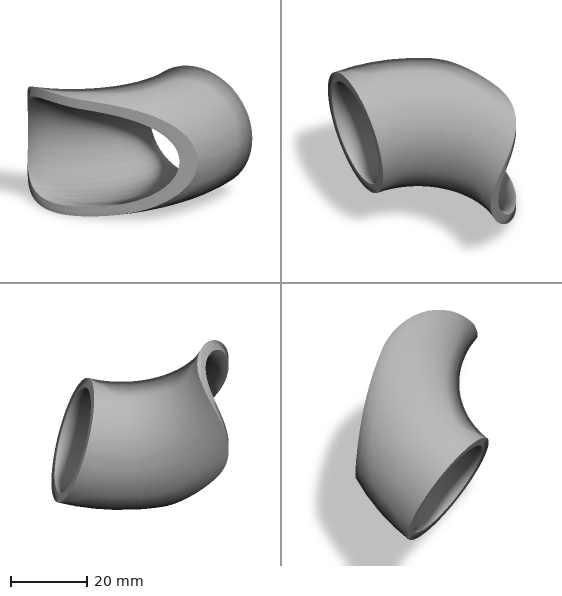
import cadquery as cq
import math


overall_length = 54.85
pipe_diameter = 33.7
wall = 2.6
bend_angle = 90.0
arc_radius = 19.1
seam_x = 23.75
margin = 0.55

pipe_radius = pipe_diameter / 2
bore_radius = pipe_radius - wall
bend_radius = overall_length - pipe_radius


def saddle_y(x):
    """Parabola where the elbow meets an equal pipe along X, tangent to its far end."""
    return x**2 / (4 * bend_radius) - bend_radius


def saddle_slope(x):
    return x / (2 * bend_radius)


def elbow():
    """Bent tube from the flat face at Y = 0 to the end face at X = 0."""
    section = cq.Workplane("XZ").center(bend_radius, 0).circle(pipe_radius).circle(bore_radius)
    return section.revolve(bend_angle, (-bend_radius, 0), (-bend_radius, -1))


def kept_block():
    """Block along Z that keeps the elbow above the arc and the saddle parabola."""
    seam = (seam_x, saddle_y(seam_x))

    normal_angle = math.atan(saddle_slope(seam_x))
    center_x = seam[0] - arc_radius * math.sin(normal_angle)
    center_y = seam[1] + arc_radius * math.cos(normal_angle)
    arc_start = (center_x - arc_radius, center_y)
    start_angle = -math.pi
    seam_angle = normal_angle - math.pi / 2
    middle_angle = (start_angle + seam_angle) / 2
    arc_middle = (
        center_x + arc_radius * math.cos(middle_angle),
        center_y + arc_radius * math.sin(middle_angle),
    )

    far_x = overall_length + margin
    control_x = (seam_x + far_x) / 2
    control = (control_x, seam[1] + saddle_slope(seam_x) * (control_x - seam_x))
    far_end = (far_x, saddle_y(far_x))

    outline = (
        cq.Workplane("XY")
        .moveTo(*arc_start)
        .threePointArc(arc_middle, seam)
        .bezier([seam, control, far_end])
        .lineTo(far_x, margin)
        .lineTo(arc_start[0], margin)
        .close()
    )
    return outline.extrude(pipe_radius + margin, both=True)


result = elbow().intersect(kept_block())